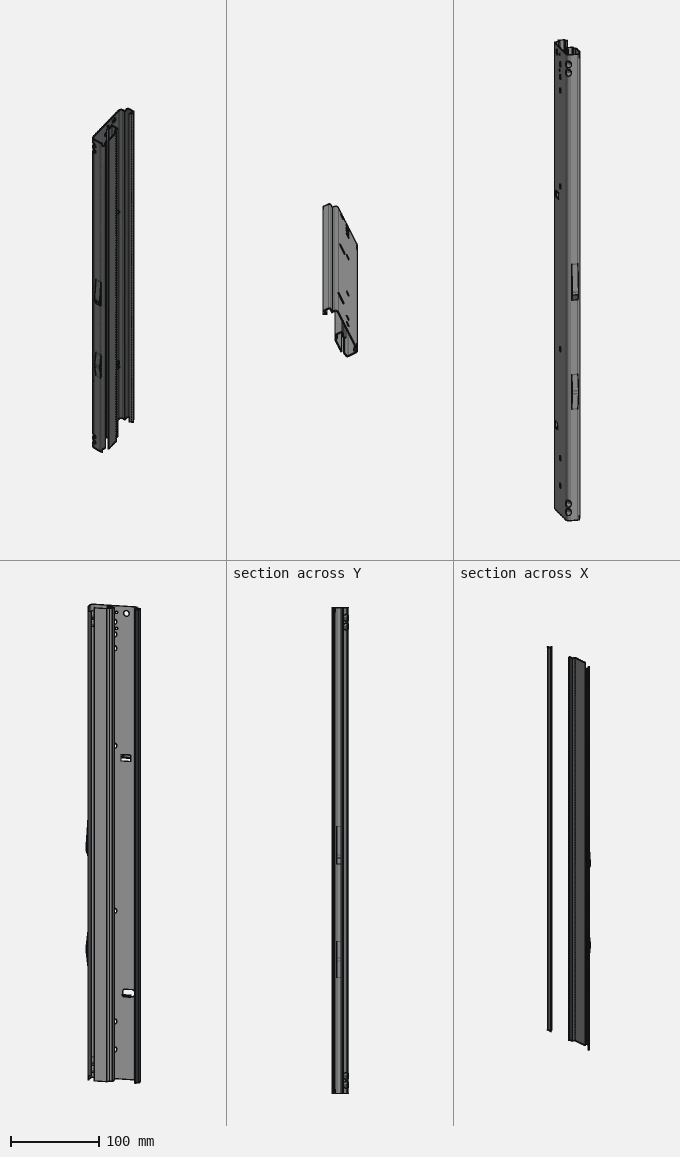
import cadquery as cq
import math

LENGTH = 550
WIDTH = 62.5
DEPTH = 18.0
SHEET = 1.2

RAMP_RISE = 2.0
HOOK_Y = WIDTH - RAMP_RISE

BEND_RADIUS = 4.0
FLANGE_X = 16.5
FLANGE_TIP_Y = 5.0
SHOULDER_Y = 55.0
NECK_X = 6.0
HOOK_X = 15.0
HOOK_BEND_RADIUS = 2.0
HOOK_KNEE = (14.5, 56.5)
HOOK_TIP = (16.5, 58.0)

COVER_FOOT_Y = 9.0
COVER_SHOULDER_Y = 23.5
COVER_NECK = (15.5, 26.0)
COVER_TOP_Y = 29.5
COVER_TOP_X = (15.5, 6.5)
COVER_KNEE = (7.0, 22.5)
COVER_TIP = (5.5, 21.5)

CUTBACK_LENGTH = 5.0

HOLE_DIAMETER = 6.0
HOLE_ROW_Y = 27.5
HOLE_HEIGHTS = (34.0, 66.5, 195.0, 387.0, 500.5, 516.5, 531.5)
PILOT_DIAMETER = 3.0
PILOT_Y = 30.0
PILOT_HEIGHTS = (523.5, 542.5)
LARGE_HOLE_DIAMETER = 6.5
LARGE_HOLE_Y = 42.0
LARGE_HOLE_Z = 542.0

SLOT_WIDTH = 11.5
SLOT_HEIGHT = 7.0
SLOT_Y = 41.0
SLOT_Z = 373.5
ARCH_WIDTH = 14.0
ARCH_HEIGHT = 8.0
ARCH_Y = 44.5
ARCH_Z = 100.5
ARCH_CORNER_RADIUS = 3.0
TAB_Y = 43.0
TAB_REACH = 4.5
TAB_LEAN = 3.0
TAB_ROOT_WIDTH = 7.5
TAB_TIP_WIDTH = 10.5

DIMPLE_RADIUS = 4.0
DIMPLE_HEIGHTS = (10.0, 20.0, 528.5, 538.5)

RAMP_X = (6.0, 13.0)
LOWER_RAMP_Z = (131.5, 150.0, 153.5, 172.0)
UPPER_RAMP_Z = (260.0, 267.0, 270.0, 302.5)

RIGHT = 1
LEFT = -1


def shifted_corner(before, corner, after, distance):
    """Corner of a line that runs parallel to before-corner-after, `distance` to its right."""
    heading_in = math.atan2(corner[1] - before[1], corner[0] - before[0])
    heading_out = math.atan2(after[1] - corner[1], after[0] - corner[0])
    half_turn = math.remainder(heading_out - heading_in, math.tau) / 2
    bisector = heading_in + half_turn - math.pi / 2
    reach = distance / math.cos(half_turn)
    return (corner[0] + reach * math.cos(bisector), corner[1] + reach * math.sin(bisector))


def extended(start, end):
    """Point as far beyond `end` as `end` is beyond `start`."""
    return (2 * end[0] - start[0], 2 * end[1] - start[1])


def shifted_path(path, distance):
    """The open path moved sideways by `distance`, to the right of its direction."""
    padded = [extended(path[1], path[0]), *path, extended(path[-2], path[-1])]
    return [shifted_corner(*padded[i : i + 3], distance) for i in range(len(path))]


def folded_sheet(path, side):
    """Sheet along the outer-face path; the material lies on the given side."""
    inner = shifted_path(path, side * SHEET)
    return cq.Workplane("XY").polyline(path + inner[::-1]).close().extrude(LENGTH)


def round_edge(solid, point, radius):
    """Round the upright edge nearest to the point."""
    nearest = cq.selectors.NearestToPointSelector((*point, LENGTH / 2))
    return solid.edges("|Z").edges(nearest).fillet(radius)


def round_bend(sheet, path, index, radius, side):
    """Round the outer and the inner edge of one bend."""
    inner = shifted_path(path, side * SHEET)
    sheet = round_edge(sheet, path[index], radius)
    return round_edge(sheet, inner[index], radius - SHEET)


def wall_cut(profile):
    """Cutter through the wall from a profile drawn on the wall plane."""
    return profile.extrude(2 * SHEET, both=True)


def wall_plane(y, z):
    """Workplane on the wall's outer face, centred at y and z."""
    return cq.Workplane("YZ", origin=(0, y, z))


def wall_hole(diameter, y, z):
    return wall_cut(wall_plane(y, z).circle(diameter / 2))


def dimple_rod(radius, z):
    """Level rod across the bend, its axis through the corner where wall and web would meet."""
    across = cq.Plane(origin=(0, 0, z), xDir=(0, 0, 1), normal=(1, -1, 0))
    return cq.Workplane(across).circle(radius).extrude(3 * radius, both=True)


def press_dimples(channel):
    """Push the bend inward along a rod at each dimple height, keeping the sheet thickness."""
    reach = 3 * DIMPLE_RADIUS
    mid_sheet = SHEET / 2
    inside = cq.Workplane("XY").box(reach, reach, LENGTH, centered=False)
    inside = round_edge(inside, (0, 0), BEND_RADIUS - mid_sheet).translate((mid_sheet, mid_sheet, 0))
    for z in DIMPLE_HEIGHTS:
        channel = channel.union(dimple_rod(DIMPLE_RADIUS + SHEET, z).intersect(inside))
    for z in DIMPLE_HEIGHTS:
        channel = channel.cut(dimple_rod(DIMPLE_RADIUS, z))
    return channel


def ramp(heights):
    """Strip of the web pushed outward between the outer two heights, highest between the inner two."""
    start, crest_start, crest_end, end = heights
    outer = [(0, start), (-RAMP_RISE, crest_start), (-RAMP_RISE, crest_end), (0, end)]
    inner = [(y + SHEET, z) for y, z in outer]
    strip = cq.Workplane("YZ", origin=(RAMP_X[0], 0, 0)).polyline(outer + inner[::-1]).close()
    return strip.extrude(RAMP_X[1] - RAMP_X[0])


def ramp_window(heights):
    """Opening in the web that the ramp is pressed from."""
    size = (RAMP_X[1] - RAMP_X[0], SHEET, heights[-1] - heights[0])
    return cq.Workplane("XY").box(*size, centered=False).translate((RAMP_X[0], 0, heights[0]))


def slot_tab(edge_z, direction):
    """Flared tab from the slot edge at edge_z, leaning into the channel and up (+1) or down (-1)."""
    root, tip = TAB_ROOT_WIDTH / 2, TAB_TIP_WIDTH / 2
    root_x = SHEET / 2
    outline = [(root_x, -root), (TAB_REACH, -tip), (TAB_REACH, tip), (root_x, root)]
    flare = cq.Workplane("XY").polyline(outline).close().extrude(LENGTH).translate((0, TAB_Y, 0))
    near, far = edge_z, edge_z + direction * TAB_LEAN
    step = direction * SHEET
    side = [(root_x, near - step), (TAB_REACH, far - step), (TAB_REACH, far), (root_x, near)]
    leaf = cq.Workplane("XZ").polyline(side).close().extrude(-WIDTH)
    return leaf.intersect(flare)


def flange_cutback(z):
    """Cutter that takes the flange off at the middle of its bend, from z upward."""
    bend_middle = BEND_RADIUS * (1 - math.sqrt(0.5))
    size = (BEND_RADIUS, FLANGE_TIP_Y, CUTBACK_LENGTH)
    corner = (FLANGE_X - BEND_RADIUS / 2, bend_middle, z)
    return cq.Workplane("XY").box(*size, centered=False).translate(corner)


def make_channel():
    """Wall, web and flange folded from one sheet, with a hook along the far edge."""
    path = [
        (FLANGE_X, FLANGE_TIP_Y),
        (FLANGE_X, 0),
        (0, 0),
        (0, SHOULDER_Y),
        (NECK_X, SHOULDER_Y),
        (NECK_X, HOOK_Y),
        (HOOK_X, HOOK_Y),
        HOOK_KNEE,
        HOOK_TIP,
    ]
    channel = folded_sheet(path, RIGHT)
    flange_bend, web_bend, shoulder_bend, hook_bend = 1, 2, 3, 5
    for bend in (flange_bend, web_bend, shoulder_bend):
        channel = round_bend(channel, path, bend, BEND_RADIUS, RIGHT)
    channel = round_bend(channel, path, hook_bend, HOOK_BEND_RADIUS, RIGHT)

    for z in HOLE_HEIGHTS:
        channel = channel.cut(wall_hole(HOLE_DIAMETER, HOLE_ROW_Y, z))
    for z in PILOT_HEIGHTS:
        channel = channel.cut(wall_hole(PILOT_DIAMETER, PILOT_Y, z))
    channel = channel.cut(wall_hole(LARGE_HOLE_DIAMETER, LARGE_HOLE_Y, LARGE_HOLE_Z))
    slot = wall_plane(SLOT_Y, SLOT_Z).rect(SLOT_WIDTH, SLOT_HEIGHT)
    channel = channel.cut(wall_cut(slot))
    channel = channel.union(slot_tab(SLOT_Z + SLOT_HEIGHT / 2, -1))
    arch = wall_cut(wall_plane(ARCH_Y, ARCH_Z).rect(ARCH_WIDTH, ARCH_HEIGHT))
    channel = channel.cut(arch.edges("|X").fillet(ARCH_CORNER_RADIUS))
    channel = channel.union(slot_tab(ARCH_Z - ARCH_HEIGHT / 2, 1))
    channel = press_dimples(channel)
    for z in (0, LENGTH - CUTBACK_LENGTH):
        channel = channel.cut(flange_cutback(z))
    for heights in (LOWER_RAMP_Z, UPPER_RAMP_Z):
        channel = channel.cut(ramp_window(heights)).union(ramp(heights))
    return channel


def make_cover():
    """Strip facing the wall across the channel, with a hooked edge of its own."""
    path = [
        (DEPTH, COVER_FOOT_Y),
        (DEPTH, COVER_SHOULDER_Y),
        COVER_NECK,
        (COVER_TOP_X[0], COVER_TOP_Y),
        (COVER_TOP_X[1], COVER_TOP_Y),
        COVER_KNEE,
        COVER_TIP,
    ]
    return folded_sheet(path, LEFT)


channel = make_channel()
cover = make_cover()
result = cq.Compound.makeCompound([channel.val(), cover.val()])